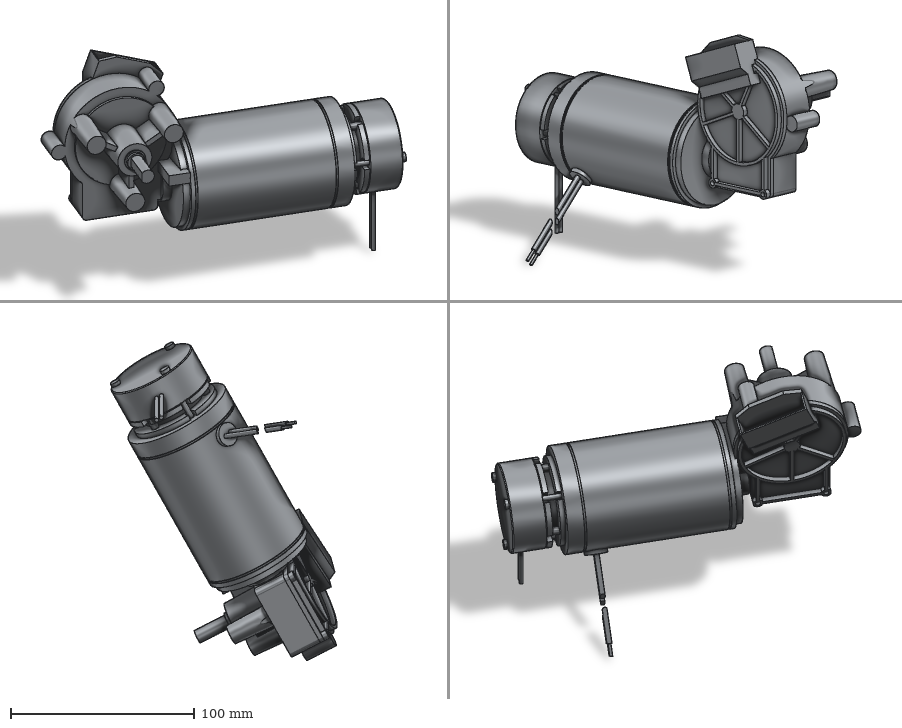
import cadquery as cq
import math


shaft_z = 31.7
shaft_dia = 8.0
shaft_flat_offset = 3.0
shaft_end_x = 55.8
collar_dia = 10.0
collar_end_x = 36.9

housing_half_width = 9.0
wheel_case_radius = 31.9
worm_case_half_length = 21.7
worm_case_bottom_z = -14.4
corner_radius = 2.5
back_plate_radius = 26.3
back_plate_x = 10.8
hub_boss_base_dia = 21.1
hub_boss_tip_dia = 19.5
hub_boss_end_x = 34.3
hub_lip_dia = 12.0
hub_lip_x = 35.0
foot_boss_base_dia = 13.0
foot_boss_tip_dia = 11.0
foot_boss_end_x = 35.0
foot_circle_radius = 25.7
foot_angles = (30, 150, 270)
web_thickness = 3.0
web_end_x = 28.3
lug_dia = 9.0
lug_circle_radius = 35.0
lug_angles = (53.3, 183.3)
pad_y = 23.5
pad_half_height = 8.4
bracket_z = (9.2, 15.5)

cover_plate_x = -11.5
cover_rib_x = -14.5
cover_step = 1.8
rib_width = 1.8
cover_hub_dia = 9.0
spoke_angles = (35, 116, 216, 270, 337)
cover_screw_boss_dia = 5.4
cover_screw_hole_dia = 2.8

connector_tilt = 20.0
connector_width = 39.3
connector_top = 36.0
connector_bottom = 12.0
connector_front_x = -23.5
connector_step_x = -19.3
connector_front_height = 13.5
connector_wall = 1.0
connector_pocket_depth = 12.2
tab_height = 4.4
tab_top_width = 20.5

motor_dia = 60.5
groove_depth = 0.5
motor_front_y = 34.0
front_groove_y = (36.7, 37.9)
rear_groove_y = (117.6, 118.8)
motor_rear_y = 128.2
nose_radius = 28.0
nose_end_y = 30.1
nose_cone_end_y = 28.7
neck_radius = 12.8

lead_y = 111.0
lead_spacing = 4.0
lead_offsets = (lead_spacing / 2, -lead_spacing / 2)
lead_dias = (2.8, 2.5)
core_dias = (1.5, 1.5)
lead_start = 26.0
lead_insulation_end = 82.0
lead_core_end = 89.1
lead_break_x = (-40.9, -46.0)
grommet_dia = 13.0
grommet_end = 32.0

brake_dia = 50.0
brake_hub_dia = 35.0
brake_flange_end_y = 131.2
armature_y = (135.5, 138.5)
brake_body_y = (139.2, 157.9)
brake_edge_chamfer = 0.5
brake_screw_circle_radius = 21.5
brake_screw_head_dia = 5.4
brake_screw_shank_dia = 3.0
brake_screw_end_y = 159.9
spacer_dia = 4.4
spacer_circle_radius = 20.1
brake_first_angle = 4.5
brake_screw_count = 3
armature_slot_width = 5.4
flange_slot_width = 4.4
brake_wire_dia = 2.2
brake_wire_spacing = 3.0
brake_wire_y = 148.5
brake_wire_end_z = -63.0


def cylinder_x(dia, x_start, x_end, y=0.0, z=shaft_z):
    """Round bar parallel to X."""
    return cq.Workplane("YZ", origin=(x_start, y, z)).circle(dia / 2).extrude(x_end - x_start)


def cone_x(start_dia, end_dia, x_start, x_end, y=0.0, z=shaft_z):
    """Tapered round bar parallel to X."""
    return (
        cq.Workplane("YZ", origin=(x_start, y, z))
        .circle(start_dia / 2)
        .workplane(offset=x_end - x_start)
        .circle(end_dia / 2)
        .loft(ruled=True)
    )


def cylinder_y(dia, y_start, y_end, x=0.0, z=0.0):
    """Round bar parallel to Y."""
    return cq.Workplane("XZ", origin=(x, y_end, z)).circle(dia / 2).extrude(y_end - y_start)


def block(x_range, y_range, z_range):
    """Box given by its limits along each axis."""
    return cq.Workplane("XY").box(
        x_range[1] - x_range[0], y_range[1] - y_range[0], z_range[1] - z_range[0], centered=False
    ).translate((x_range[0], y_range[0], z_range[0]))


def around_shaft(radius, angle):
    """(y, z) of a point on a circle round the shaft axis, angle measured from +Y."""
    angle = math.radians(angle)
    return radius * math.cos(angle), shaft_z + radius * math.sin(angle)


def radial_bar(length, width, x_start, x_end, angle):
    """Bar that runs outwards from the shaft axis."""
    bar = block((x_start, x_end), (0, length), (-width / 2, width / 2))
    return bar.rotate((0, 0, 0), (1, 0, 0), angle).translate((0, 0, shaft_z))


def gear_case_slab(x_start, x_end, inset=0.0):
    """Round wheel case joined to the square worm case below it, shrunk by an inset."""
    half_length = worm_case_half_length - inset
    wheel = cylinder_x(2 * (wheel_case_radius - inset), x_start, x_end)
    worm = block((x_start, x_end), (-half_length, half_length), (worm_case_bottom_z + inset, shaft_z))
    if corner_radius > inset:
        worm = worm.edges("|X and <Z").fillet(corner_radius - inset)
    return wheel.union(worm)


def make_housing(motor):
    case = gear_case_slab(-housing_half_width, housing_half_width)
    case = case.union(cylinder_x(2 * back_plate_radius, housing_half_width, back_plate_x))

    for angle in lug_angles:
        y, z = around_shaft(lug_circle_radius, angle)
        case = case.union(cylinder_x(lug_dia, -housing_half_width, housing_half_width, y, z))

    envelope = cylinder_x(2 * wheel_case_radius, 0, foot_boss_end_x)
    for angle in foot_angles:
        y, z = around_shaft(foot_circle_radius, angle)
        boss = cone_x(foot_boss_base_dia, foot_boss_tip_dia, housing_half_width, foot_boss_end_x, y, z)
        web = radial_bar(foot_circle_radius, web_thickness, housing_half_width, web_end_x, angle)
        case = case.union(boss.intersect(envelope)).union(web)

    case = case.union(cone_x(hub_boss_base_dia, hub_boss_tip_dia, housing_half_width, hub_boss_end_x))
    case = case.union(cylinder_x(hub_lip_dia, back_plate_x, hub_lip_x))

    width = (-housing_half_width, housing_half_width)
    pad = block(width, (0, pad_y), (-pad_half_height, bracket_z[1]))
    bracket = block((-housing_half_width, web_end_x), (worm_case_half_length, motor_front_y), bracket_z)
    case = case.union(pad).union(bracket)

    shaft_bore = cylinder_x(collar_dia, back_plate_x, hub_lip_x)
    return case.cut(shaft_bore).cut(motor)


def tilt_connector(upright):
    """Turn a shape built upright round the X axis into its place round the shaft axis."""
    return upright.rotate((0, 0, 0), (1, 0, 0), -connector_tilt).translate((0, 0, shaft_z))


def connector_shell():
    """Solid outside of the connector with the tab above its back."""
    half_width = connector_width / 2
    chamfer = connector_step_x - connector_front_x
    front_bottom = connector_top - connector_front_height
    shell = (
        cq.Workplane("XZ", origin=(0, half_width, 0))
        .moveTo(-housing_half_width, connector_bottom)
        .lineTo(connector_step_x, connector_bottom)
        .lineTo(connector_step_x, front_bottom - chamfer)
        .lineTo(connector_front_x, front_bottom)
        .lineTo(connector_front_x, connector_top)
        .lineTo(-housing_half_width, connector_top)
        .close()
        .extrude(connector_width)
    )
    tab_top = connector_top + tab_height
    tab = (
        cq.Workplane("YZ", origin=(cover_plate_x, 0, 0))
        .polyline([
            (-half_width, connector_top),
            (half_width, connector_top),
            (tab_top_width / 2, tab_top),
            (-tab_top_width / 2, tab_top),
        ])
        .close()
        .extrude(-housing_half_width - cover_plate_x)
    )
    return tilt_connector(shell.union(tab))


def connector_pocket():
    """Socket opening at the top of the connector, down to the cover plate."""
    half_width = connector_width / 2 - connector_wall
    pocket = block(
        (connector_front_x + connector_wall, cover_plate_x),
        (-half_width, half_width),
        (connector_top - connector_pocket_depth, connector_top),
    )
    return tilt_connector(pocket)


def make_cover(motor):
    plate = gear_case_slab(cover_plate_x, -housing_half_width)

    rim_inset = cover_step + rib_width
    rim = gear_case_slab(cover_rib_x, cover_plate_x, cover_step)
    rim = rim.cut(gear_case_slab(cover_rib_x, cover_plate_x, rim_inset))
    ring_radius = wheel_case_radius - cover_step
    ring = cylinder_x(2 * ring_radius, cover_rib_x, cover_plate_x)
    ring = ring.cut(cylinder_x(2 * (ring_radius - rib_width), cover_rib_x, cover_plate_x))
    cover = plate.union(rim).union(ring).union(cylinder_x(cover_hub_dia, cover_rib_x, cover_plate_x))
    for angle in spoke_angles:
        cover = cover.union(
            radial_bar(ring_radius - rib_width / 2, rib_width, cover_rib_x, cover_plate_x, angle)
        )

    boss_radius = cover_screw_boss_dia / 2
    boss_z = worm_case_bottom_z + boss_radius
    for side in (-1, 1):
        boss_y = side * (worm_case_half_length - boss_radius)
        cover = cover.union(cylinder_x(cover_screw_boss_dia, cover_rib_x, cover_plate_x, boss_y, boss_z))
        cover = cover.cut(cylinder_x(cover_screw_hole_dia, cover_rib_x, cover_plate_x, boss_y, boss_z))
    cover = cover.union(connector_shell()).cut(connector_pocket())
    return cover.cut(motor)


def make_shaft():
    shaft = cylinder_x(collar_dia, back_plate_x, collar_end_x)
    shaft = shaft.union(cylinder_x(shaft_dia, collar_end_x, shaft_end_x))
    flat_waste = block(
        (collar_end_x, shaft_end_x),
        (-shaft_dia, -shaft_flat_offset),
        (shaft_z - shaft_dia, shaft_z + shaft_dia),
    )
    return shaft.cut(flat_waste)


def lead_cylinder(dia, start, end, offset=0.0):
    """Round bar that leaves the motor radially, halfway between -X and -Z."""
    direction = cq.Plane(origin=(0, lead_y, 0), xDir=(-1, 0, 1), normal=(-1, 0, -1))
    return (
        cq.Workplane(direction).workplane(offset=start).center(offset, 0).circle(dia / 2).extrude(end - start)
    )


def x_slab(x_start, x_end):
    """Box wide enough to keep every part of the leads between two X values."""
    reach = lead_core_end
    return block((x_start, x_end), (lead_y - reach, lead_y + reach), (-reach, reach))


def make_motor():
    radius = motor_dia / 2
    groove_radius = radius - groove_depth
    profile = [
        (0, pad_y),
        (neck_radius, pad_y),
        (neck_radius, nose_cone_end_y),
        (nose_radius, nose_end_y),
        (nose_radius, motor_front_y),
        (radius, motor_front_y),
    ]
    for groove_start, groove_end in (front_groove_y, rear_groove_y):
        profile += [
            (radius, groove_start),
            (groove_radius, groove_start),
            (groove_radius, groove_end),
            (radius, groove_end),
        ]
    profile += [(radius, motor_rear_y), (0, motor_rear_y)]
    motor = cq.Workplane("XY").polyline(profile).close().revolve(360, (0, 0, 0), (0, 1, 0))

    motor = motor.union(lead_cylinder(grommet_dia, lead_start, grommet_end))
    for dia, offset in zip(lead_dias, lead_offsets):
        lead = lead_cylinder(dia, lead_start, lead_insulation_end, offset)
        motor = motor.union(lead.intersect(x_slab(lead_break_x[0], 0)))
    return motor


def make_lead_end(dia, core_dia, offset):
    """Loose end of a lead beyond the break, with its bared core."""
    insulation = lead_cylinder(dia, lead_start, lead_insulation_end, offset)
    core = lead_cylinder(core_dia, lead_insulation_end, lead_core_end, offset)
    return insulation.intersect(x_slab(-lead_core_end, lead_break_x[1])).union(core)


def around_motor(radius, angle):
    """(x, z) of a point on a circle round the motor axis, angle measured from +X."""
    angle = math.radians(angle)
    return radius * math.cos(angle), radius * math.sin(angle)


def edge_slot(width, y_start, y_end, radius, angle):
    """Radial slot with a round floor, open at the rim of the brake."""
    x, z = around_motor(radius, angle)
    channel = block((radius, brake_dia), (y_start, y_end), (-width / 2, width / 2))
    return cylinder_y(width, y_start, y_end, x, z).union(channel.rotate((0, 0, 0), (0, 1, 0), -angle))


def make_brake():
    body = cylinder_y(brake_dia, *brake_body_y).edges(">Y").chamfer(brake_edge_chamfer)
    hub = cylinder_y(brake_hub_dia, motor_rear_y, brake_body_y[0])
    flange = cylinder_y(brake_dia, motor_rear_y, brake_flange_end_y)
    armature = cylinder_y(brake_dia, *armature_y)

    screw_step = 360 / brake_screw_count
    screw_angles = [brake_first_angle + screw_step * i for i in range(brake_screw_count)]
    spacer_angles = [angle + screw_step / 2 for angle in screw_angles]
    for angle in screw_angles:
        radius = brake_screw_circle_radius
        flange = flange.cut(edge_slot(flange_slot_width, motor_rear_y, brake_flange_end_y, radius, angle))
        armature = armature.cut(edge_slot(armature_slot_width, *armature_y, radius, angle))
    for angle in spacer_angles:
        armature = armature.cut(edge_slot(armature_slot_width, *armature_y, spacer_circle_radius, angle))

    brake = body.union(hub).union(flange).union(armature)
    for angle in screw_angles:
        x, z = around_motor(brake_screw_circle_radius, angle)
        brake = brake.union(cylinder_y(brake_screw_shank_dia, motor_rear_y, brake_body_y[0], x, z))
        brake = brake.union(cylinder_y(brake_screw_head_dia, brake_body_y[1], brake_screw_end_y, x, z))
    for angle in spacer_angles:
        x, z = around_motor(spacer_circle_radius, angle)
        brake = brake.union(cylinder_y(spacer_dia, brake_flange_end_y, brake_body_y[0], x, z))

    for side in (-1, 1):
        wire = cq.Workplane("XY", origin=(side * brake_wire_spacing / 2, brake_wire_y, brake_wire_end_z))
        brake = brake.union(wire.circle(brake_wire_dia / 2).extrude(-brake_wire_end_z))
    return brake


motor = make_motor()
housing = make_housing(motor)
cover = make_cover(motor)
shaft = make_shaft()
brake = make_brake()
lead_ends = [
    make_lead_end(dia, core_dia, offset)
    for dia, core_dia, offset in zip(lead_dias, core_dias, lead_offsets)
]

bodies = [motor, housing, cover, shaft, brake, *lead_ends]
result = cq.Compound.makeCompound([body.solids().val() for body in bodies])